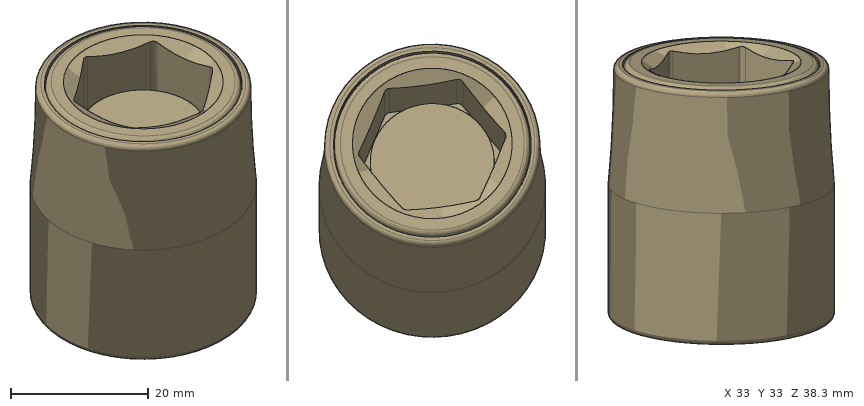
import cadquery as cq
import math

total_height = 38.3
sleeve_radius = 16.5

sleeve_top = total_height - 0.3
sleeve_rim_radius = 15.7
straight_height = 19.95
rim_fillet = 0.75
base_fillet = 0.6

bore_radius = 14.4
socket_clearance = 0.1
socket_radius = bore_radius - socket_clearance
socket_edge_fillet = 0.9
clearance_depth = 1.15

hex_across_flats = 19.0
hex_corner_fillet = 0.95
lead_in_radius = 11.65
lead_in_angle = 30.0

disc_radius = 9.05
disc_thickness = 3.0
disc_top = total_height - 8.05
hex_floor = disc_top - disc_thickness


def arc_midpoint():
    """Middle of the flared arc, which runs vertical at the rim and bulges outward."""
    arc_height = sleeve_top - rim_fillet - straight_height
    flare = sleeve_radius - sleeve_rim_radius
    arc_radius = (arc_height**2 + flare**2) / (2 * flare)
    half_sweep = math.asin(arc_height / arc_radius) / 2
    radius = sleeve_rim_radius + arc_radius * (1 - math.cos(half_sweep))
    height = sleeve_top - rim_fillet - arc_radius * math.sin(half_sweep)
    return radius, height


def make_sleeve():
    """Straight lower barrel and waisted upper barrel around a through bore."""
    diagonal = math.sqrt(0.5)
    base_inset = base_fillet * (1 - diagonal)
    rim_inset = rim_fillet * (1 - diagonal)
    profile = (
        cq.Workplane("XZ")
        .moveTo(bore_radius, 0)
        .lineTo(sleeve_radius - base_fillet, 0)
        .threePointArc((sleeve_radius - base_inset, base_inset), (sleeve_radius, base_fillet))
        .lineTo(sleeve_radius, straight_height)
        .threePointArc(arc_midpoint(), (sleeve_rim_radius, sleeve_top - rim_fillet))
        .threePointArc(
            (sleeve_rim_radius - rim_inset, sleeve_top - rim_inset),
            (sleeve_rim_radius - rim_fillet, sleeve_top),
        )
        .lineTo(bore_radius, sleeve_top)
        .close()
    )
    return profile.revolve(360, (0, 0, 0), (0, 1, 0))


def make_hex_recess():
    """Hexagonal prism with rounded corners, two of them on the Y axis."""
    corner_diameter = hex_across_flats / math.cos(math.radians(30))
    return (
        cq.Workplane("XY")
        .workplane(offset=hex_floor)
        .polygon(6, corner_diameter)
        .extrude(total_height - hex_floor)
        .edges("|Z")
        .fillet(hex_corner_fillet)
        .rotate((0, 0, 0), (0, 0, 1), 30)
    )


def make_lead_in():
    """Shallow cone that opens the mouth of the hexagonal recess."""
    cone_depth = lead_in_radius * math.tan(math.radians(lead_in_angle))
    profile = (
        cq.Workplane("XZ")
        .moveTo(0, total_height)
        .lineTo(lead_in_radius, total_height)
        .lineTo(0, total_height - cone_depth)
        .close()
    )
    return profile.revolve(360, (0, 0, 0), (0, 1, 0))


def make_socket():
    """Core that fills the bore, with a narrow clearance around its mouth."""
    shoulder = total_height - clearance_depth
    body = cq.Workplane("XY").circle(bore_radius).extrude(shoulder)
    mouth = (
        cq.Workplane("XY")
        .workplane(offset=shoulder)
        .circle(socket_radius)
        .extrude(clearance_depth)
        .faces(">Z")
        .edges()
        .fillet(socket_edge_fillet)
    )
    return body.union(mouth).cut(make_hex_recess()).cut(make_lead_in())


def make_disc():
    """Plain round disc resting on the floor of the hexagonal recess."""
    return cq.Workplane("XY").workplane(offset=hex_floor).circle(disc_radius).extrude(disc_thickness)


sleeve = make_sleeve()
socket = make_socket()
disc = make_disc()

result = cq.Compound.makeCompound([sleeve.val(), socket.val(), disc.val()])